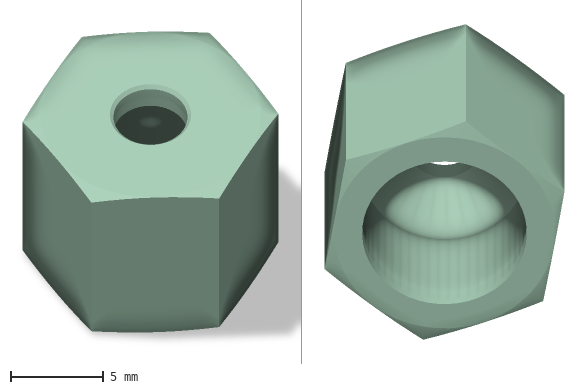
import cadquery as cq
import math

across_corners = 13.86
across_flats = across_corners * math.cos(math.radians(30))
height = 11.0

chamfer_angle = 15.0
face_radius = across_flats / 2 - 0.03
corner_radius = across_corners / 2
chamfer_drop = (corner_radius - face_radius) * math.tan(math.radians(chamfer_angle))

hole_radius = 4.0 / 2
hole_chamfer = 0.2
hole_depth = 1.54
bore_radius = 8.91 / 2
cone_height = bore_radius - hole_radius
cone_top = height - hole_depth
cone_bottom = cone_top - cone_height


def revolved(profile):
    """Turn a closed (radius, z) outline around the Z axis."""
    return cq.Workplane("XZ").polyline(profile).close().revolve(360, (0, 0, 0), (0, 1, 0))


def hexagonal_body():
    prism = cq.Workplane("XY").polygon(6, across_corners).extrude(height)
    return prism.rotate((0, 0, 0), (0, 0, 1), 30)


def corner_envelope():
    return revolved([
        (0, 0),
        (face_radius, 0),
        (corner_radius, chamfer_drop),
        (corner_radius, height - chamfer_drop),
        (face_radius, height),
        (0, height),
    ])


def stepped_bore():
    return revolved([
        (0, 0),
        (bore_radius, 0),
        (bore_radius, cone_bottom),
        (hole_radius, cone_top),
        (hole_radius, height - hole_chamfer),
        (hole_radius + hole_chamfer, height),
        (0, height),
    ])


result = hexagonal_body().intersect(corner_envelope()).cut(stepped_bore())